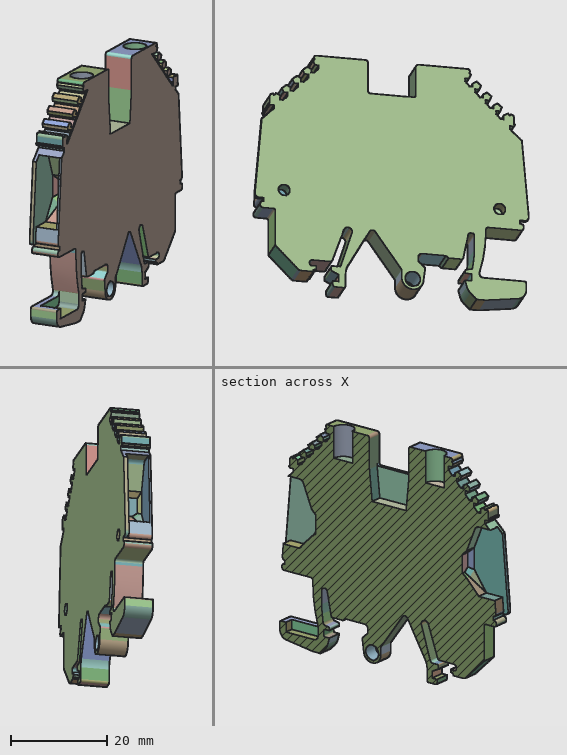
import cadquery as cq
import math


width = 6.1
plate_thickness = 0.8

height = 51.1
notch_half_width = 5.1
notch_floor = 43.75
notch_floor_radius = 0.45
notch_rim_radius = 0.65
top_half_length = 16.65
base_z = 16.25
shoulder_z = 18.45
lip_top = 17.7
lip_y = 28.15
lip_neck_y = 27.35
lip_radius = 0.7
end_radius = 0.75

upper_slope_start = (25.2, 38.55)
plate_corner = (27.75, 36.15)
plate_end_y = 29.2
body_corner_y = 26.45
body_end_y = 28.1
slope_share = (body_corner_y - upper_slope_start[0]) / (plate_corner[0] - upper_slope_start[0])
body_corner = (
    body_corner_y,
    upper_slope_start[1] + slope_share * (plate_corner[1] - upper_slope_start[1]),
)
plate_end = [plate_corner, (plate_end_y, 19.55), (plate_end_y, shoulder_z, end_radius)]
body_end = [body_corner, (body_end_y, shoulder_z, end_radius)]

ridge_pitch = 2.2
ridge_count = 3
first_ridge = (17.25, 47.25)
ridge_recess = 0.2
ridge_root_sum = 63.65
ridge_band_top = 49.0
ridge_band_end = 23.9

cavity_bottom = 36.8
cavity_bottom_half_width = 4.4

screw_y = 12.05
screw_x = 3.35
screw_diameter = 4.8
screw_depth = 7.0
test_hole_y = 23.0
test_hole_z = 20.55
test_hole_diameter = 2.4
test_hole_depth = 2.9

entry_x = (plate_thickness, 5.6)
entry_floor = 22.15
entry_ceiling = body_corner[1]
entry_ceiling_y = 22.8
entry_ceiling_radius = 1.05
entry_back_y = 23.55
funnel_y = 20.4
funnel_top = 31.5
funnel_bottom = 25.4
funnel_bottom_half_width = 0.8
throat_x = (1.6, 4.95)
throat_y = 19.3
throat_top = 30.4
throat_bottom = 26.3
throat_bottom_half_width = 0.6
throat_corner_slope = 0.75

eye_center = (-4.45, 3.35)
eye_radius = 2.35
eye_bore = 3.2

foot_tip_y = -28.7
foot_top = 4.95
foot_plate_wall = 1.45
foot_end_wall = 1.75
foot_pocket_depth = 2.15
foot_pocket_radius = 0.95
leg_y = -20.05
leg_root_y = -18.7
leg_bend_z = 10.5
leg_foot_z = 6.0
leg_outer_radius = 31.55
leg_inner_radius = 17.5


def rounded_wire(corners):
    """Closed YZ outline; a corner given as (y, z, radius) is replaced by an arc."""
    work = None
    for i, corner in enumerate(corners):
        y, z = corner[:2]
        enter, middle, leave = (y, z), None, (y, z)
        if len(corner) == 3:
            before, after = corners[i - 1], corners[(i + 1) % len(corners)]
            angle_in = math.atan2(before[1] - z, before[0] - y)
            angle_out = math.atan2(after[1] - z, after[0] - y)
            half = math.acos(math.cos(angle_out - angle_in)) / 2
            setback = corner[2] / math.tan(half)
            enter = (y + setback * math.cos(angle_in), z + setback * math.sin(angle_in))
            leave = (y + setback * math.cos(angle_out), z + setback * math.sin(angle_out))
            bisector = math.atan2(
                math.sin(angle_in) + math.sin(angle_out), math.cos(angle_in) + math.cos(angle_out)
            )
            reach = corner[2] / math.sin(half) - corner[2]
            middle = (y + reach * math.cos(bisector), z + reach * math.sin(bisector))
        work = cq.Workplane("YZ").moveTo(*enter) if work is None else work.lineTo(*enter)
        if middle:
            work = work.threePointArc(middle, leave)
    return work.close()


def ridge(index):
    """One hooked ridge and the valley below it."""
    y = first_ridge[0] + index * ridge_pitch
    z = first_ridge[1] - index * ridge_pitch
    return [
        (y, z), (y, z + 0.7), (y + 0.8, z + 1.2), (y + 1.8, z + 0.4),
        (y + 1.45, z - 0.45), (y + 0.5, z - 0.45), (y + 0.5, z - 1.1), (y + 1.6, z - 2.2),
    ]


def upper_half(end_points):
    """Points from the central notch over the top and down to the shoulder lip, +Y side."""
    points = [
        (notch_half_width, notch_floor, notch_floor_radius),
        (notch_half_width, height, notch_rim_radius),
        (top_half_length, height, 0.5),
        (top_half_length, 50.45), (16.5, 50.3), (16.9, 49.9), (16.5, 49.0),
        (15.6, 49.0), (15.6, 48.35), (16.6, 47.25),
    ]
    for index in range(ridge_count):
        points += ridge(index)
    points += [
        (23.9, 40.6), (23.9, 41.55), (24.75, 42.0), (25.2, 41.55), (25.35, 41.8), (26.05, 41.8, 0.65),
        (26.05, 39.85), (26.3, 39.6), (26.05, 39.25), (25.2, 39.25), upper_slope_start,
    ]
    points += end_points
    points += [
        (lip_neck_y, shoulder_z), (lip_neck_y, lip_top),
        (lip_y, lip_top, lip_radius), (lip_y, base_z, lip_radius),
    ]
    return points


fixed_foot = [
    (24.95, base_z, 0.35), (24.95, 8.1), (19.8, 3.0, 0.9),
    (16.75, 3.0), (16.75, 3.35), (16.1, 3.7), (16.1, 4.25), (17.6, 4.25, 0.45), (17.6, 5.55, 0.65),
    (12.8, 5.55, 0.6), (9.95, 13.7, 0.8), (8.3, 13.15, 0.8), (11.0, 4.6, 0.6),
    (12.95, 4.6, 0.25), (12.95, 3.55, 0.25), (11.35, 2.75), (11.35, 1.3),
    (12.6, 1.3), (12.6, 0.0, 0.5), (9.9, 0.0, 0.45), (9.9, 4.05, 3.5),
    (4.2, 13.95, 0.7), (-2.1, 5.1, 0.3),
]

eye_web = [
    (eye_center[0] + eye_radius, eye_center[1]), (eye_center[0] - eye_radius, eye_center[1]),
    (-7.1, 5.95, 0.45), (-5.6, 7.35, 0.3), (-5.6, 9.1, 0.9),
]

release_foot = [
    (-11.5, 9.1), (-12.1, 8.65), (-15.2, 8.65, 0.45),
    (-16.35, 14.65, 0.5), (-17.6, 14.65, 0.5), (-17.6, 10.0, leg_inner_radius), (-17.2, 6.65, 0.5),
    (-15.6, 6.35, 0.35), (-15.6, 5.6, 0.25), (-17.05, 5.55, 0.3), (-17.05, 4.05, 0.3),
    (-15.6, 4.05), (-16.2, 1.85, 2.9), (-18.05, 0.0), (-20.0, 0.0),
    (foot_tip_y, 1.2, 2.05), (foot_tip_y, foot_top, 0.45),
    (leg_root_y, foot_top, 0.8), (leg_root_y, leg_foot_z), (leg_y, leg_bend_z, leg_outer_radius),
    (leg_y, base_z, 0.5),
]


def profile(end_points):
    """Whole outline: +Y upper half, the rail feet, then the mirrored upper half."""
    right = upper_half(end_points)
    left = [(-p[0],) + tuple(p[1:]) for p in reversed(right)]
    return rounded_wire(right + fixed_foot + eye_web + release_foot + left)


def prism(points, x_start, x_end):
    """YZ polygon extruded from x_start to x_end."""
    return cq.Workplane("YZ", origin=(x_start, 0, 0)).polyline(points).close().extrude(x_end - x_start)


def throat_section(y, x_range, top, bottom, bottom_half_width):
    """Six corners of a rectangle with bevelled lower corners; a full-width bottom stays square."""
    left, right = x_range
    center = (left + right) / 2
    bevel_z = bottom + throat_corner_slope * ((right - left) / 2 - bottom_half_width)
    outline = [
        (left, top), (right, top), (right, bevel_z),
        (center + bottom_half_width, bottom), (center - bottom_half_width, bottom), (left, bevel_z),
    ]
    return [cq.Vector(x, y, z) for x, z in outline]


def taper(outer, inner):
    """Flat-sided solid joining two sections corner by corner; coinciding corners give triangles."""
    loops = [outer, inner]
    for i in range(len(outer)):
        j = (i + 1) % len(outer)
        loops.append([outer[i], outer[j], inner[j], inner[i]])
    faces = []
    for loop in loops:
        corners = [p for i, p in enumerate(loop) if p.toTuple() != loop[i - 1].toTuple()]
        faces.append(cq.Face.makeFromWires(cq.Wire.makePolygon(corners, close=True)))
    return cq.Workplane(cq.Solid.makeSolid(cq.Shell.makeShell(faces)))


def wire_entry():
    """Cutter for the +Y wire entry: open pocket, funnel and throat."""
    pocket = prism(
        [
            (plate_end_y, entry_floor), (plate_end_y, entry_ceiling),
            (entry_ceiling_y, entry_ceiling), (funnel_y, funnel_top),
            (entry_back_y, funnel_top), (entry_back_y, entry_floor),
        ],
        *entry_x,
    )
    pocket = pocket.faces(">Z").edges("<Y").fillet(entry_ceiling_radius)
    entry_half_width = (entry_x[1] - entry_x[0]) / 2
    back = throat_section(entry_back_y, entry_x, funnel_top, entry_floor, entry_half_width)
    middle = throat_section(funnel_y, entry_x, funnel_top, funnel_bottom, funnel_bottom_half_width)
    end = throat_section(throat_y, throat_x, throat_top, throat_bottom, throat_bottom_half_width)
    return pocket.union(taper(back, middle)).union(taper(middle, end))


def x_cylinder(y, z, diameter, length):
    return cq.Workplane("YZ").center(y, z).circle(diameter / 2).extrude(length)


plate = profile(plate_end).extrude(plate_thickness)
body = profile(body_end).extrude(width).union(plate)

cavity_top = notch_floor + notch_floor_radius
body = body.cut(
    prism(
        [
            (-notch_half_width, notch_floor), (-notch_half_width, cavity_top),
            (notch_half_width, cavity_top), (notch_half_width, notch_floor),
            (cavity_bottom_half_width, cavity_bottom), (-cavity_bottom_half_width, cavity_bottom),
        ],
        plate_thickness,
        width,
    )
)

ridge_trim = prism(
    [
        (ridge_root_sum - ridge_band_top, ridge_band_top),
        (ridge_band_end, ridge_band_top),
        (ridge_band_end, ridge_root_sum - ridge_band_end),
    ],
    width - ridge_recess,
    width,
)
screw_hole = (
    cq.Workplane("XY", origin=(screw_x, screw_y, height - screw_depth))
    .circle(screw_diameter / 2)
    .extrude(screw_depth)
)
test_hole = x_cylinder(test_hole_y, test_hole_z, test_hole_diameter, test_hole_depth)
for cutter in (wire_entry(), ridge_trim, screw_hole, test_hole):
    body = body.cut(cutter).cut(cutter.mirror("XZ"))

body = body.union(x_cylinder(*eye_center, 2 * eye_radius, width))
body = body.cut(x_cylinder(*eye_center, eye_bore, width))

foot_pocket_end = foot_tip_y + foot_end_wall
foot_floor = foot_top - foot_pocket_depth
foot_pocket = prism(
    [
        (foot_pocket_end, foot_floor), (leg_root_y, foot_floor),
        (leg_root_y, leg_foot_z), (foot_pocket_end, leg_foot_z),
    ],
    foot_plate_wall,
    width,
)
foot_pocket = foot_pocket.faces("<Z").edges(">Y").fillet(foot_pocket_radius)

result = body.cut(foot_pocket).solids()